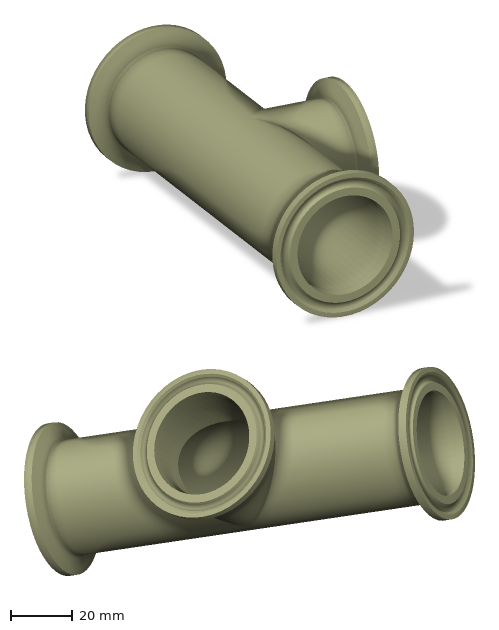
import cadquery as cq
import math

run_length = 139.7
overall_width = 60.1

tube_outer_diameter = 38.1
tube_bore_diameter = 34.8

flange_diameter = 50.5
rim_thickness = 2.8
taper_angle = 20.0
neck_fillet_radius = 0.91

groove_middle_radius = 21.7
groove_floor_half_width = 1.1
groove_inner_lip_run = 0.4
groove_outer_lip_run = 0.8
groove_lip_depth = 0.7
groove_depth = 1.5

half_run = run_length / 2
tube_radius = tube_outer_diameter / 2
bore_radius = tube_bore_diameter / 2
flange_radius = flange_diameter / 2
branch_reach = overall_width - flange_radius


def run_end(sign):
    """Plane on a run end face, with its normal pointing out of the part."""
    return cq.Plane(origin=(sign * half_run, 0, 0), xDir=(0, 1, 0), normal=(sign, 0, 0))


branch_end = cq.Plane(origin=(0, branch_reach, 0), xDir=(1, 0, 0), normal=(0, 1, 0))
end_planes = [run_end(-1), run_end(1), branch_end]


def radial_section(end_plane):
    """Sketch plane through the tube axis: local x is the radius, local y points out of the end."""
    normal = end_plane.xDir.cross(end_plane.zDir)
    section = cq.Plane(origin=end_plane.origin, xDir=end_plane.xDir, normal=normal)
    return cq.Workplane(section)


def revolve_about_axis(profile):
    """Close a radial profile and turn it once around the tube axis."""
    return profile.close().revolve(360, (0, 0, 0), (0, 1, 0))


def flange(end_plane):
    """Clamp flange: flat rim, conical back and a concave fillet onto the tube."""
    slope = math.radians(taper_angle)
    fillet_center_radius = tube_radius + neck_fillet_radius
    cone_end_radius = fillet_center_radius - neck_fillet_radius * math.sin(slope)
    cone_end_depth = rim_thickness + (flange_radius - cone_end_radius) * math.tan(slope)
    neck_depth = cone_end_depth + neck_fillet_radius * math.cos(slope)
    middle_angle = (slope + math.pi / 2) / 2
    fillet_middle = (
        fillet_center_radius - neck_fillet_radius * math.sin(middle_angle),
        -neck_depth + neck_fillet_radius * math.cos(middle_angle),
    )
    profile = (
        radial_section(end_plane)
        .lineTo(flange_radius, 0)
        .lineTo(flange_radius, -rim_thickness)
        .lineTo(cone_end_radius, -cone_end_depth)
        .threePointArc(fillet_middle, (tube_radius, -neck_depth))
        .lineTo(0, -neck_depth)
    )
    return revolve_about_axis(profile)


def gasket_groove(end_plane):
    """Ring with sloped lips and a round bottom, to be cut from a flange face."""
    floor_inner_radius = groove_middle_radius - groove_floor_half_width
    floor_outer_radius = groove_middle_radius + groove_floor_half_width
    profile = (
        radial_section(end_plane)
        .moveTo(floor_inner_radius - groove_inner_lip_run, 0)
        .lineTo(floor_inner_radius, -groove_lip_depth)
        .threePointArc((groove_middle_radius, -groove_depth), (floor_outer_radius, -groove_lip_depth))
        .lineTo(floor_outer_radius + groove_outer_lip_run, 0)
    )
    return revolve_about_axis(profile)


def tee(radius):
    """Solid run and branch cylinders of one radius, joined at the middle."""
    run = cq.Workplane(run_end(-1)).circle(radius).extrude(-run_length)
    branch = cq.Workplane(branch_end).circle(radius).extrude(-branch_reach)
    return run.union(branch)


result = tee(tube_radius)
for end_plane in end_planes:
    result = result.union(flange(end_plane))
result = result.cut(tee(bore_radius))
for end_plane in end_planes:
    result = result.cut(gasket_groove(end_plane))